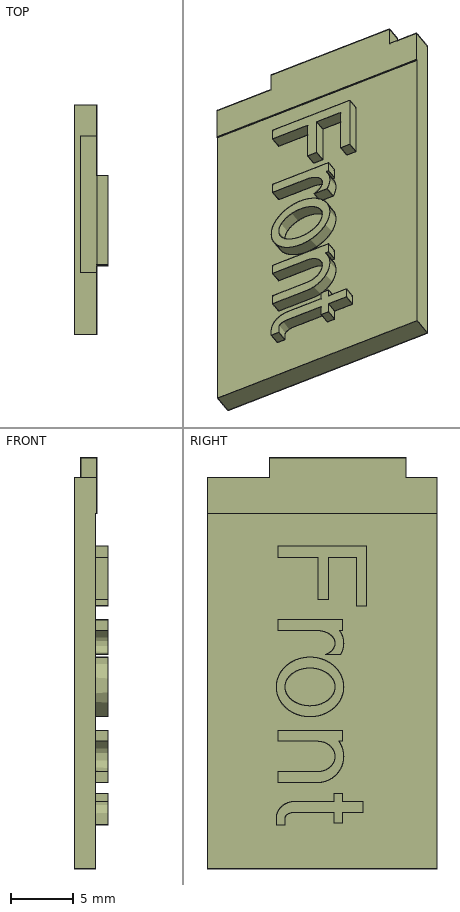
import cadquery as cq

board_thickness = 1.7
board_width = 18.5
board_height = 31.5

band_thickness = 1.8
band_height = 2.9

tab_thickness = 1.3
tab_width = 11.0
tab_height = 1.6
tab_side_inset = 2.5

letter_relief = 1.0
cap_height = 7.16
x_height = 5.19
overshoot = 0.12
word_drop = 5.5
cap_stem = 0.95
cap_bar = 0.84
small_stem = 0.88
small_bar = 0.68
round_stroke = 0.70

r_start = 5.94
o_start = 8.95
n_start = 14.84
t_start = 19.92

f_width = 4.83
f_middle_width = 4.31
f_middle_base = 3.25
r_width = 2.80
r_arch_width = 3.80
o_width = 4.80
n_width = 4.21
arch_base = 3.19
t_width = 2.53
t_bar_width = 2.40
t_stem_inset = 0.64
t_height = 6.85
t_hook_center = 2.0
t_hook_height = 1.4

letter_plane = cq.Plane(
    origin=(board_thickness, -cap_height / 2, board_height - word_drop),
    xDir=(0, 0, -1),
    normal=(1, 0, 0),
)


def bar(left, base, width, height):
    """Raised rectangle with its lower-left corner at (left, base)."""
    outline = cq.Workplane(letter_plane).center(left, base).rect(width, height, centered=False)
    return outline.extrude(letter_relief)


def ring(center_x, center_y, radius_x, radius_y):
    """Raised oval ring with thicker sides than top and bottom."""
    middle = cq.Workplane(letter_plane).center(center_x, center_y)
    outer = middle.ellipse(radius_x, radius_y).extrude(letter_relief)
    inner = middle.ellipse(radius_x - small_stem, radius_y - round_stroke).extrude(letter_relief)
    return outer.cut(inner)


def arch(left, full_width, kept_width):
    """Upper half of an oval ring, cut off at kept_width."""
    rise = x_height + overshoot - arch_base
    oval = ring(left + full_width / 2, arch_base, full_width / 2, rise)
    return oval.intersect(bar(left, arch_base, kept_width, rise))


def letter_f():
    stem = bar(0, 0, cap_stem, cap_height)
    upper_arm = bar(0, cap_height - cap_bar, f_width, cap_bar)
    middle_arm = bar(0, f_middle_base, f_middle_width, cap_bar)
    return stem.union(upper_arm).union(middle_arm)


def letter_r():
    stem = bar(r_start, 0, small_stem, x_height)
    return stem.union(arch(r_start, r_arch_width, r_width))


def letter_o():
    return ring(o_start + o_width / 2, x_height / 2, o_width / 2, x_height / 2 + overshoot)


def letter_n():
    stem = bar(n_start, 0, small_stem, x_height)
    leg = bar(n_start + n_width - small_stem, 0, small_stem, arch_base)
    return stem.union(arch(n_start, n_width, n_width)).union(leg)


def letter_t():
    stem_left = t_start + t_stem_inset
    stem = bar(stem_left, t_hook_height, small_stem, t_height - t_hook_height)
    crossbar = bar(t_start, x_height - small_bar, t_bar_width, small_bar)
    hook_radius_x = t_hook_center - t_stem_inset
    hook_radius_y = t_hook_height + overshoot
    oval = ring(t_start + t_hook_center, t_hook_height, hook_radius_x, hook_radius_y)
    hook = oval.intersect(bar(stem_left, -overshoot, hook_radius_x, hook_radius_y))
    tail = bar(t_start + t_hook_center, -overshoot, t_width - t_hook_center, round_stroke)
    return stem.union(crossbar).union(hook).union(tail)


def board():
    """Plate with the thicker band along its upper edge."""
    plate = cq.Workplane().box(board_thickness, board_width, board_height, centered=(False, True, False))
    band = (
        cq.Workplane()
        .box(band_thickness, board_width, band_height, centered=(False, True, False))
        .translate((0, 0, board_height - band_height))
    )
    return plate.union(band)


def tab():
    center_y = board_width / 2 - tab_side_inset - tab_width / 2
    block = cq.Workplane().box(tab_thickness, tab_width, tab_height, centered=(False, True, False))
    return block.translate((band_thickness - tab_thickness, center_y, board_height))


result = board().union(tab())
for letter in (letter_f(), letter_r(), letter_o(), letter_n(), letter_t()):
    result = result.union(letter)